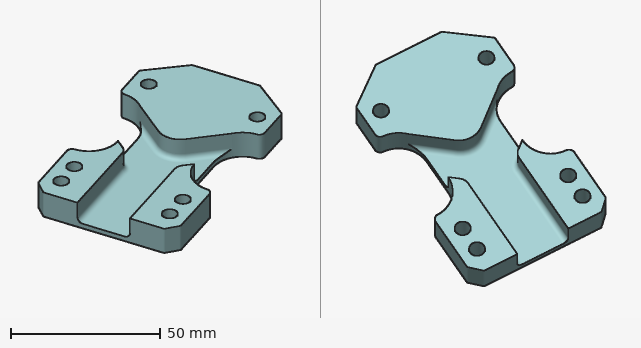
import cadquery as cq
import math

length = 88.5
width = 54.0
thickness = 10.0
half_width = width / 2
front_y = -length / 2
back_y = length / 2

back_edge_half = 12.8
back_slope_depth = 11.1
front_chamfer = 4.2
neck_half = 14.4
scallop_radius = 11.0
front_scallop_y = -6.3
back_scallop_y = 7.7
corner_radius = 1.0
ear_radius = 2.0

hole_diameter = 5.4
hole_x = 20.5
hole_rows = (-35.7, -26.2, 27.7)

floor_z = 1.95
floor_fillet = 2.0
channel_half = 9.9
channel_corner_y = -10.0
channel_corner_radius = 4.0
nose_apex_y = 0.9
nose_radius = 8.0
flare_angle = 39.5
relief_half_span = 18.1
overrun = 8.85


def outline_half():
    """Right half of the plate, with the ears rounded beside the scallops."""
    scallop_x = neck_half + scallop_radius
    ear_x = half_width - ear_radius
    centre_gap = scallop_radius + ear_radius
    ear_offset = math.sqrt(centre_gap**2 - (scallop_x - ear_x) ** 2)
    front_ear_y = front_scallop_y - ear_offset
    back_ear_y = back_scallop_y + ear_offset
    joint_x = ear_x + (scallop_x - ear_x) * ear_radius / centre_gap
    joint_dy = ear_offset * scallop_radius / centre_gap
    arc_step = scallop_radius * math.sqrt(0.5)
    ear_step = ear_radius * math.sqrt(0.5)
    return (
        cq.Workplane("XY")
        .moveTo(0, front_y)
        .lineTo(half_width - front_chamfer, front_y)
        .lineTo(half_width, front_y + front_chamfer)
        .lineTo(half_width, front_ear_y)
        .threePointArc((ear_x + ear_step, front_ear_y + ear_step), (joint_x, front_scallop_y - joint_dy))
        .threePointArc((scallop_x - arc_step, front_scallop_y - arc_step), (neck_half, front_scallop_y))
        .lineTo(neck_half, back_scallop_y)
        .threePointArc((scallop_x - arc_step, back_scallop_y + arc_step), (joint_x, back_scallop_y + joint_dy))
        .threePointArc((ear_x + ear_step, back_ear_y - ear_step), (half_width, back_ear_y))
        .lineTo(half_width, back_y - back_slope_depth)
        .lineTo(back_edge_half, back_y)
        .lineTo(0, back_y)
        .close()
        .extrude(thickness)
    )


def near_corners(x, y):
    """Selector for the upright edges at (x, y) and (-x, y)."""
    reach = 0.1

    def box_at(centre_x):
        low = (centre_x - reach, y - reach, 0)
        high = (centre_x + reach, y + reach, 2 * thickness)
        return cq.selectors.BoxSelector(low, high)

    return box_at(x) + box_at(-x)


def plate():
    """Full-height plate with all its outline corners rounded."""
    half = outline_half()
    body = half.union(half.mirror("YZ")).clean()
    corners = (
        (half_width - front_chamfer, front_y),
        (half_width, front_y + front_chamfer),
        (half_width, back_y - back_slope_depth),
        (back_edge_half, back_y),
    )
    for x, y in corners:
        body = body.edges("|Z").edges(near_corners(x, y)).fillet(corner_radius)
    return body


def relief():
    """Cutter for the channel and the flared recess in front of the nose."""
    cutter_half = relief_half_span + overrun
    flare_slope = math.tan(math.radians(flare_angle))
    flare_front_y = channel_corner_y + (cutter_half - channel_half) * flare_slope
    flare_back_y = nose_apex_y + cutter_half * flare_slope
    cutter_front_y = front_y - overrun
    cutter = (
        cq.Workplane("XY", origin=(0, 0, floor_z))
        .polyline([
            (channel_half, cutter_front_y),
            (channel_half, channel_corner_y),
            (cutter_half, flare_front_y),
            (cutter_half, flare_back_y),
            (0, nose_apex_y),
            (-cutter_half, flare_back_y),
            (-cutter_half, flare_front_y),
            (-channel_half, channel_corner_y),
            (-channel_half, cutter_front_y),
        ])
        .close()
        .extrude(thickness)
    )
    cutter = cutter.edges("|Z").edges(near_corners(0, nose_apex_y)).fillet(nose_radius)
    channel_corners = near_corners(channel_half, channel_corner_y)
    cutter = cutter.edges("|Z").edges(channel_corners).fillet(channel_corner_radius)
    cutter = cutter.faces("<Z").edges().fillet(floor_fillet)
    limits = cq.Workplane("XY").box(2 * relief_half_span, 2 * length, 4 * thickness)
    return cutter.intersect(limits)


def screw_holes():
    """Through holes in mirrored pairs."""
    centres = [(side * hole_x, y) for y in hole_rows for side in (-1, 1)]
    return cq.Workplane("XY").pushPoints(centres).circle(hole_diameter / 2).extrude(thickness)


result = plate().cut(relief()).cut(screw_holes())